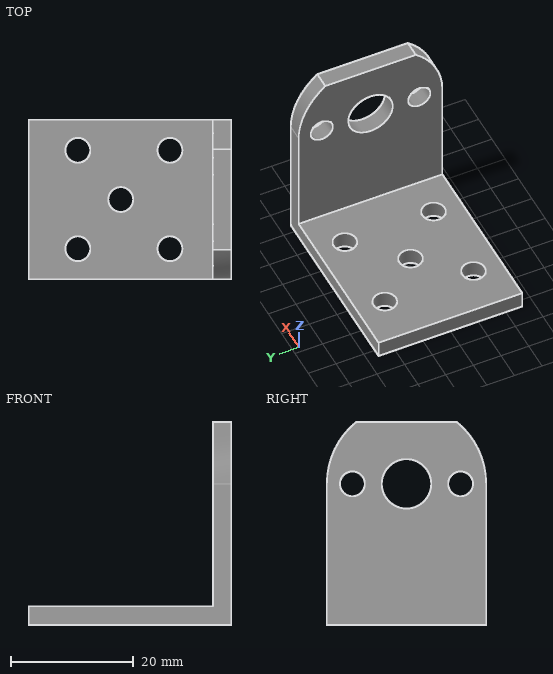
import cadquery as cq

length = 33.0
width = 26.0
height = 33.1

base_thickness = 3.1
wall_thickness = 3.0

bore_drop = 10.1
bore_height = height - bore_drop
shoulder_radius = width / 2
bore_diameter = 8.0
wall_hole_offset = 8.8

screw_diameter = 4.0
base_hole_offset = 8.0
base_hole_front = 8.0
base_hole_rear = 23.0
base_hole_middle = (length - wall_thickness) / 2


def make_base():
    """Horizontal plate from the free end to the outer wall face."""
    return cq.Workplane("XY").box(length, width, base_thickness, centered=(False, True, False))


def make_wall():
    """Upright plate with a round head cut flat at the top."""
    wall_start = length - wall_thickness
    lower = cq.Workplane("XY").box(wall_thickness, width, bore_height, centered=(False, True, False))
    head = (
        cq.Workplane("YZ")
        .center(0, bore_height)
        .circle(shoulder_radius)
        .extrude(wall_thickness)
    )
    envelope = cq.Workplane("XY").box(wall_thickness, width, height, centered=(False, True, False))
    return lower.union(head.intersect(envelope)).translate((wall_start, 0, 0))


def make_base_holes():
    """Four corner screw holes and one in the middle."""
    sides = (-base_hole_offset, base_hole_offset)
    points = [(x, y) for x in (base_hole_front, base_hole_rear) for y in sides]
    points.append((base_hole_middle, 0))
    return cq.Workplane("XY").pushPoints(points).circle(screw_diameter / 2).extrude(base_thickness)


def make_wall_holes():
    """Centre bore with a screw hole on each side."""
    axis_plane = cq.Workplane("YZ").center(0, bore_height)
    bore = axis_plane.circle(bore_diameter / 2).extrude(length)
    screws = (
        axis_plane.pushPoints([(-wall_hole_offset, 0), (wall_hole_offset, 0)])
        .circle(screw_diameter / 2)
        .extrude(length)
    )
    return bore.union(screws)


result = make_base().union(make_wall()).cut(make_base_holes()).cut(make_wall_holes())